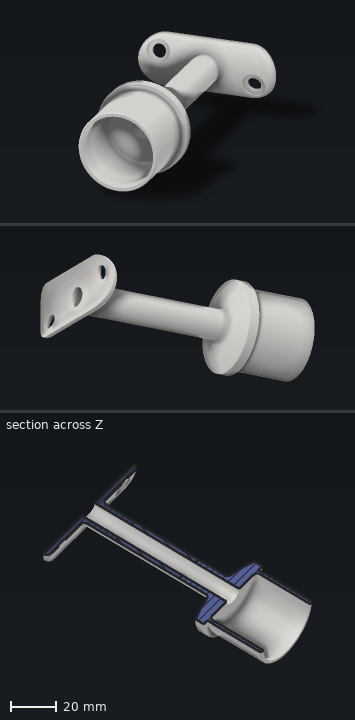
import cadquery as cq
import math

TOTAL_LENGTH = 114.3
POST_DIAMETER = 14.0
BORE_DIAMETER = 9.0
NECK_FILLET = 2.0

CUP_JOINT_Y = 54.7
SADDLE_JOINT_Y = 90.3

SLEEVE_DIAMETER = 37.3
RELIEF_DIAMETER = 36.9
FLANGE_DIAMETER = 42.4
CAVITY_DIAMETER = 33.5
RELIEF_START_Y = 27.0
FLANGE_START_Y = 30.0
FLANGE_END_Y = 34.5
DOME_RISE = 4.1
MOUTH_CHAMFER = 0.5
CAVITY_FILLET = 2.0
CAVITY_DEPTH = FLANGE_START_Y

SADDLE_LENGTH = 65.0
SADDLE_WIDTH = 25.0
SADDLE_THICKNESS = 2.5
RAIL_RADIUS = 22.5
SADDLE_EDGE_FILLET = 2.3
SCREW_X = 22.5
SCREW_TILT = 11.6
SCREW_HOLE_DIAMETER = 6.5
COUNTERBORE_DIAMETER = 11.0
COUNTERBORE_DEPTH = 1.0

RAIL_AXIS_Y = TOTAL_LENGTH + math.sqrt(RAIL_RADIUS**2 - (SADDLE_WIDTH / 2) ** 2)
SADDLE_OUTER_RADIUS = RAIL_RADIUS + SADDLE_THICKNESS


def rod(diameter, start_y, end_y):
    """Cylinder on the Y axis between two stations."""
    return cq.Workplane("XZ", origin=(0, start_y, 0)).circle(diameter / 2).extrude(start_y - end_y)


def rail_cylinder(radius):
    """Cylinder on the rail axis, parallel to X and longer than the saddle."""
    plane = cq.Workplane("YZ", origin=(-SADDLE_LENGTH, RAIL_AXIS_Y, 0))
    return plane.circle(radius).extrude(2 * SADDLE_LENGTH)


def bore():
    return rod(BORE_DIAMETER, 0, TOTAL_LENGTH)


def make_cup():
    sleeve_r = SLEEVE_DIAMETER / 2
    relief_r = RELIEF_DIAMETER / 2
    flange_r = FLANGE_DIAMETER / 2
    neck_r = POST_DIAMETER / 2

    dome_r = (flange_r**2 + DOME_RISE**2) / (2 * DOME_RISE)
    dome_center_y = FLANGE_END_Y + DOME_RISE - dome_r

    def dome_point(radius):
        return radius, dome_center_y + math.sqrt(dome_r**2 - radius**2)

    body = (
        cq.Workplane("XY")
        .lineTo(sleeve_r - MOUTH_CHAMFER, 0)
        .lineTo(sleeve_r, MOUTH_CHAMFER)
        .lineTo(sleeve_r, RELIEF_START_Y)
        .lineTo(relief_r, RELIEF_START_Y)
        .lineTo(relief_r, FLANGE_START_Y)
        .lineTo(flange_r, FLANGE_START_Y)
        .lineTo(flange_r, FLANGE_END_Y)
        .threePointArc(dome_point((flange_r + neck_r) / 2), dome_point(neck_r))
        .lineTo(neck_r, CUP_JOINT_Y)
        .lineTo(0, CUP_JOINT_Y)
        .close()
        .revolve(360, (0, 0, 0), (0, 1, 0))
    )
    neck_root = cq.selectors.NearestToPointSelector((0, dome_point(neck_r)[1], neck_r))
    body = body.edges(neck_root).fillet(NECK_FILLET)

    cavity = rod(CAVITY_DIAMETER, 0, CAVITY_DEPTH).faces(">Y").edges().fillet(CAVITY_FILLET)
    return body.cut(cavity).cut(bore())


def make_post():
    return rod(POST_DIAMETER, CUP_JOINT_Y, SADDLE_JOINT_Y).cut(bore())


def make_saddle_plate():
    """Round-ended plate, curved about the rail axis, with its post-side edge rounded."""
    blank = (
        cq.Workplane("XZ", origin=(0, TOTAL_LENGTH, 0))
        .slot2D(SADDLE_LENGTH, SADDLE_WIDTH)
        .extrude(TOTAL_LENGTH - SADDLE_JOINT_Y)
    )
    plate = blank.intersect(rail_cylinder(SADDLE_OUTER_RADIUS)).cut(rail_cylinder(RAIL_RADIUS))
    outer_face = cq.selectors.NearestToPointSelector((0, RAIL_AXIS_Y - SADDLE_OUTER_RADIUS, 0))
    return plate.faces(outer_face).edges().fillet(SADDLE_EDGE_FILLET)


def screw_hole_cutter(side):
    """Counterbored hole pointing at the rail axis; side is -1 or +1 along X."""
    seat_y = RAIL_AXIS_Y - SADDLE_OUTER_RADIUS + COUNTERBORE_DEPTH
    cutter = rod(SCREW_HOLE_DIAMETER, SADDLE_JOINT_Y, RAIL_AXIS_Y).union(
        rod(COUNTERBORE_DIAMETER, SADDLE_JOINT_Y, seat_y)
    )
    rail_axis = (0, RAIL_AXIS_Y, 0), (1, RAIL_AXIS_Y, 0)
    return cutter.rotate(*rail_axis, side * SCREW_TILT).translate((side * SCREW_X, 0, 0))


def make_saddle():
    neck_r = POST_DIAMETER / 2
    neck = rod(POST_DIAMETER, SADDLE_JOINT_Y, TOTAL_LENGTH).cut(rail_cylinder(RAIL_RADIUS))
    body = make_saddle_plate().union(neck)

    root_y = RAIL_AXIS_Y - math.sqrt(SADDLE_OUTER_RADIUS**2 - neck_r**2)
    neck_root = cq.selectors.BoxSelector(
        (-neck_r, SADDLE_JOINT_Y + NECK_FILLET, -neck_r),
        (neck_r, root_y, neck_r),
    )
    body = body.edges(neck_root).edges("not %LINE").fillet(NECK_FILLET)

    for side in (-1, 1):
        body = body.cut(screw_hole_cutter(side))
    return body.cut(bore())


cup = make_cup()
post = make_post()
saddle = make_saddle()

result = cq.Compound.makeCompound([cup.val(), post.val(), saddle.val()])